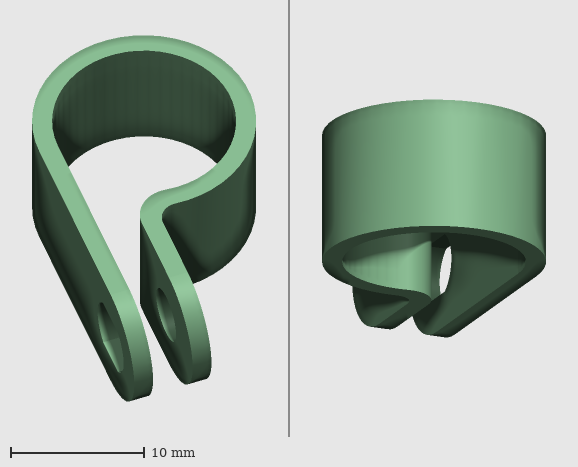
import cadquery as cq
import math

width = 10.0
strap = 1.5
ring_radius = 8.4
tip_x = 20.0
leg_gap = 3.18
concave_bend_radius = 1.42
convex_bend_radius = 2.5
round_hole_diameter = 4.2
round_hole_x = 14.4
slot_diameter = 5.5
slot_height = 4.55

bore_radius = ring_radius - strap
lower_leg_bottom = -ring_radius
lower_leg_top = -bore_radius
upper_leg_bottom = lower_leg_top + leg_gap
upper_leg_top = upper_leg_bottom + strap
tip_radius = width / 2
tip_center_x = tip_x - tip_radius


def polar(radius, angle):
    """Point on a circle about the loop axis."""
    return (radius * math.cos(angle), radius * math.sin(angle))


def bend_arc(loop_radius, radius, leg_y):
    """Start, middle and end of an arc tangent to a loop circle and to a leg face."""
    center_y = leg_y + radius
    center_x = math.sqrt((loop_radius + radius) ** 2 - center_y**2)
    start_angle = math.atan2(center_y, center_x)
    middle_angle = (start_angle + math.pi + 3 * math.pi / 2) / 2
    middle_x, middle_y = polar(radius, middle_angle)
    return (
        polar(loop_radius, start_angle),
        (center_x + middle_x, center_y + middle_y),
        (center_x, leg_y),
    )


def make_strap():
    """Loop, bend and two legs as one extruded strip."""
    loop_middle = 3 * math.pi / 4
    concave_start, concave_middle, concave_end = bend_arc(ring_radius, concave_bend_radius, upper_leg_top)
    convex_start, convex_middle, convex_end = bend_arc(bore_radius, convex_bend_radius, upper_leg_bottom)
    return (
        cq.Workplane("XY")
        .workplane(offset=-width / 2)
        .moveTo(tip_x, lower_leg_bottom)
        .lineTo(0, lower_leg_bottom)
        .threePointArc(polar(ring_radius, loop_middle), concave_start)
        .threePointArc(concave_middle, concave_end)
        .lineTo(tip_x, upper_leg_top)
        .lineTo(tip_x, upper_leg_bottom)
        .lineTo(*convex_end)
        .threePointArc(convex_middle, convex_start)
        .threePointArc(polar(bore_radius, loop_middle), (0, lower_leg_top))
        .lineTo(tip_x, lower_leg_top)
        .close()
        .extrude(width)
    )


def leg_plane(y):
    """Plane facing -Y, with its origin on the tip axis."""
    return cq.Workplane(cq.Plane((tip_center_x, y, 0), xDir=(1, 0, 0), normal=(0, -1, 0)))


def make_side_envelope():
    """Side outline whose rounded end trims both leg tips."""
    body_length = tip_center_x + ring_radius
    body = leg_plane(0).center(-body_length / 2, 0).rect(body_length, width)
    rounded_end = leg_plane(0).circle(tip_radius).extrude(ring_radius, both=True)
    return body.extrude(ring_radius, both=True).union(rounded_end)


def make_slot():
    """Double-flat slot through the lower leg."""
    circle = leg_plane(lower_leg_top).circle(slot_diameter / 2).extrude(strap)
    flats = leg_plane(lower_leg_top).rect(slot_diameter, slot_height).extrude(strap)
    return circle.intersect(flats)


def make_round_hole():
    """Round hole through the upper leg."""
    plane = leg_plane(upper_leg_top).center(round_hole_x - tip_center_x, 0)
    return plane.circle(round_hole_diameter / 2).extrude(strap)


result = make_strap().intersect(make_side_envelope()).cut(make_slot()).cut(make_round_hole())